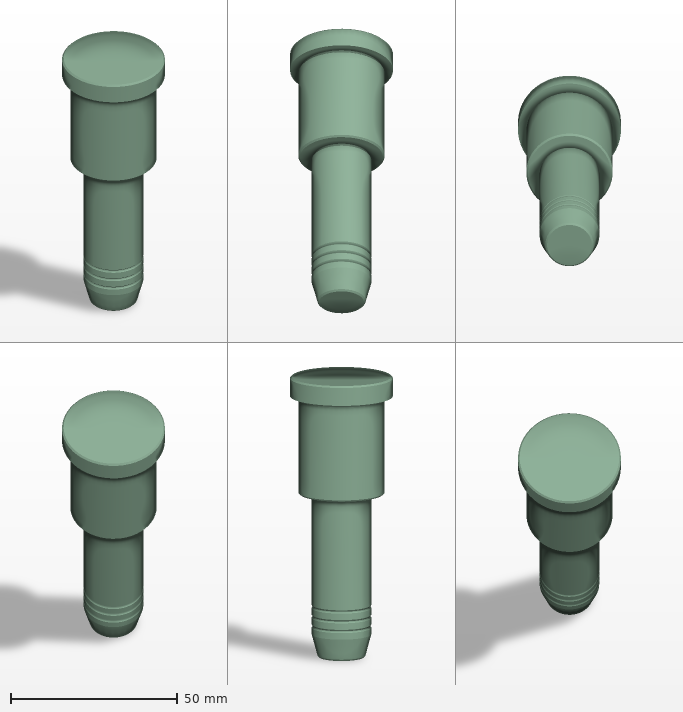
import cadquery as cq
import math

total_length = 86.0
edge_chamfer = 0.5

head_radius = 31.0 / 2
head_height = 6.0

body_radius = 26.0 / 2
body_bottom_z = 50.0
undercut_depth = 0.5
undercut_width = 0.6
undercut_total_width = 1.0

shaft_radius = 18.0 / 2
neck_depth = 0.5
neck_length = 1.0

groove_count = 3
groove_pitch = 3.0
groove_depth = 0.5
lowest_groove_z = 9.5

taper_length = 7.0
taper_angle = 15.0

head_bottom_z = total_length - head_height
undercut_radius = body_radius - undercut_depth
undercut_bottom_z = head_bottom_z - undercut_width
body_top_z = head_bottom_z - undercut_total_width
neck_radius = shaft_radius - neck_depth
neck_bottom_z = body_bottom_z - neck_length
taper_end_radius = shaft_radius - (taper_length - edge_chamfer) * math.tan(math.radians(taper_angle))
tip_radius = taper_end_radius - edge_chamfer


def make_stepped_pin():
    """Revolve the half profile (radius, Z) about the Z axis."""
    profile = [
        (0, 0),
        (tip_radius, 0),
        (taper_end_radius, edge_chamfer),
        (shaft_radius, taper_length),
        (shaft_radius, neck_bottom_z),
        (neck_radius, neck_bottom_z),
        (neck_radius, body_bottom_z),
        (body_radius - edge_chamfer, body_bottom_z),
        (body_radius, body_bottom_z + edge_chamfer),
        (body_radius, body_top_z),
        (undercut_radius, undercut_bottom_z),
        (undercut_radius, head_bottom_z),
        (head_radius, head_bottom_z),
        (head_radius, total_length - edge_chamfer),
        (head_radius - edge_chamfer, total_length),
        (0, total_length),
    ]
    return cq.Workplane("XZ").polyline(profile).close().revolve(360, (0, 0), (0, 1))


def make_groove_cutter(center_z):
    """Ring with a 90 degree V section whose point reaches groove_depth into the shaft."""
    outer_radius = shaft_radius + groove_depth
    half_width = outer_radius - (shaft_radius - groove_depth)
    section = [
        (shaft_radius - groove_depth, center_z),
        (outer_radius, center_z + half_width),
        (outer_radius, center_z - half_width),
    ]
    return cq.Workplane("XZ").polyline(section).close().revolve(360, (0, 0), (0, 1))


result = make_stepped_pin()
for index in range(groove_count):
    result = result.cut(make_groove_cutter(lowest_groove_z + index * groove_pitch))